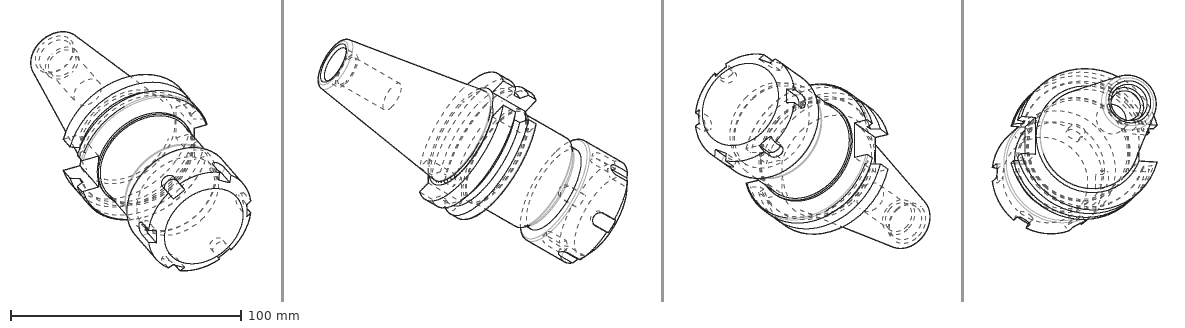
import cadquery as cq
import math

TOTAL_LENGTH = 144.8
SHANK_LENGTH = 68.5
RELIEF_START = 68.9
FLANGE_START = 69.4
FLANGE_END = 87.5
GROOVE_FLOOR_START = 78.0
GROOVE_FLOOR_END = 81.0
COLLAR_END = 88.6
BODY_END = 112.8
NUT_START = 119.5
NUT_BEVEL_START = 140.9

SHANK_SMALL_DIAMETER = 24.2
BODY_DIAMETER = 44.5
FLANGE_DIAMETER = 63.3
GROOVE_DIAMETER = 56.2
NECK_DIAMETER = 39.8
NUT_DIAMETER = 50.1
NUT_FACE_DIAMETER = 38.2

SHANK_END_ROUND = 1.6
COLLAR_DIAMETER = 46.2
RELIEF_RADIUS = 0.9
FLANGE_ROUND = 0.6
GROOVE_WALL_ANGLE = 30.0
SHOULDER_ANGLE = 45.0
SHOULDER_TOP_RADIUS = 0.6
SHOULDER_ROOT_RADIUS = 1.2
NUT_ROUND = 0.9

HOLE_DIAMETER = 16.2
HOLE_MOUTH_DIAMETER = 18.8
HOLE_MOUTH_DEPTH = 1.2
HOLE_DEPTH = 7.2
PILOT_DIAMETER = 13.3
PILOT_DEPTH = 31.9

DRIVE_SLOT_WIDTH = 16.5
FRONT_SLOT_FLOOR = 22.5
BACK_SLOT_FLOOR = 24.2

SPANNER_SLOT_COUNT = 6
SPANNER_SLOT_WIDTH = 6.4
SPANNER_SLOT_START = 131.8
SPANNER_SLOT_FLOOR = 22.0


def make_turned_body():
    """Revolve the shank, flange, body and nut as one profile about X."""
    shank_radius = SHANK_SMALL_DIAMETER / 2
    body_radius = BODY_DIAMETER / 2
    flange_radius = FLANGE_DIAMETER / 2
    groove_radius = GROOVE_DIAMETER / 2
    neck_radius = NECK_DIAMETER / 2
    nut_radius = NUT_DIAMETER / 2
    collar_radius = COLLAR_DIAMETER / 2
    relief_center = body_radius + RELIEF_RADIUS
    relief_edge = relief_center + math.sqrt(RELIEF_RADIUS**2 - (FLANGE_START - RELIEF_START) ** 2)
    groove_wall = (flange_radius - groove_radius) * math.tan(math.radians(GROOVE_WALL_ANGLE))
    shoulder = (body_radius - neck_radius) / math.tan(math.radians(SHOULDER_ANGLE))
    return (
        cq.Workplane("XY")
        .lineTo(0, shank_radius)
        .lineTo(SHANK_LENGTH, body_radius)
        .lineTo(RELIEF_START, body_radius)
        .threePointArc((RELIEF_START + RELIEF_RADIUS, relief_center), (FLANGE_START, relief_edge))
        .lineTo(FLANGE_START, flange_radius)
        .lineTo(GROOVE_FLOOR_START - groove_wall, flange_radius)
        .lineTo(GROOVE_FLOOR_START, groove_radius)
        .lineTo(GROOVE_FLOOR_END, groove_radius)
        .lineTo(GROOVE_FLOOR_END + groove_wall, flange_radius)
        .lineTo(FLANGE_END, flange_radius)
        .lineTo(FLANGE_END, collar_radius)
        .lineTo(COLLAR_END, collar_radius)
        .lineTo(COLLAR_END, body_radius)
        .lineTo(BODY_END, body_radius)
        .lineTo(BODY_END + shoulder, neck_radius)
        .lineTo(NUT_START, neck_radius)
        .lineTo(NUT_START, nut_radius)
        .lineTo(NUT_BEVEL_START, nut_radius)
        .lineTo(TOTAL_LENGTH, NUT_FACE_DIAMETER / 2)
        .lineTo(TOTAL_LENGTH, 0)
        .close()
        .revolve(360, (0, 0, 0), (1, 0, 0))
    )


def circle_at(x, diameter, inner_diameter=0):
    """Selector for the circular edges at one station, larger than an inner diameter."""
    margin = 0.07

    def box(size):
        half = size / 2 + margin
        return cq.selectors.BoxSelector((x - margin, -half, -half), (x + margin, half, half), boundingbox=True)

    return box(diameter) - box(inner_diameter)


def round_turned_edges(body):
    """Round the shank end, the front of the flange, the shoulder above the neck and the back of the nut."""
    shoulder_end = BODY_END + (BODY_DIAMETER - NECK_DIAMETER) / 2 / math.tan(math.radians(SHOULDER_ANGLE))
    body = body.edges(circle_at(0, SHANK_SMALL_DIAMETER)).fillet(SHANK_END_ROUND)
    body = body.edges(circle_at(FLANGE_END, FLANGE_DIAMETER, COLLAR_DIAMETER)).fillet(FLANGE_ROUND)
    body = body.edges(circle_at(BODY_END, BODY_DIAMETER)).fillet(SHOULDER_TOP_RADIUS)
    body = body.edges(circle_at(shoulder_end, NECK_DIAMETER)).fillet(SHOULDER_ROOT_RADIUS)
    return body.edges(circle_at(NUT_START, NUT_DIAMETER, NECK_DIAMETER)).fillet(NUT_ROUND)


def make_draw_bar_hole():
    """Blind stepped hole with a conical mouth, along X from the small end."""
    hole_radius = HOLE_DIAMETER / 2
    pilot_radius = PILOT_DIAMETER / 2
    return (
        cq.Workplane("XY")
        .lineTo(0, HOLE_MOUTH_DIAMETER / 2)
        .lineTo(HOLE_MOUTH_DEPTH, hole_radius)
        .lineTo(HOLE_DEPTH, hole_radius)
        .lineTo(HOLE_DEPTH, pilot_radius)
        .lineTo(PILOT_DEPTH, pilot_radius)
        .lineTo(PILOT_DEPTH, 0)
        .close()
        .revolve(360, (0, 0, 0), (1, 0, 0))
    )


def make_drive_slot(side, floor):
    """Slot across the flange; side is -1 for the -Y side and +1 for the +Y side."""
    depth = FLANGE_DIAMETER / 2 - floor
    center = ((FLANGE_START + FLANGE_END) / 2, side * (floor + depth / 2), 0)
    return cq.Workplane("XY", origin=center).box(FLANGE_END - FLANGE_START, depth, DRIVE_SLOT_WIDTH)


def make_spanner_slot():
    """Round-ended slot on the -Y side of the nut, open at the front."""
    half_width = SPANNER_SLOT_WIDTH / 2
    return (
        cq.Workplane("XZ", origin=(0, -SPANNER_SLOT_FLOOR, 0))
        .moveTo(TOTAL_LENGTH, -half_width)
        .lineTo(SPANNER_SLOT_START + half_width, -half_width)
        .threePointArc((SPANNER_SLOT_START, 0), (SPANNER_SLOT_START + half_width, half_width))
        .lineTo(TOTAL_LENGTH, half_width)
        .close()
        .extrude(NUT_DIAMETER / 2 - SPANNER_SLOT_FLOOR)
    )


result = round_turned_edges(make_turned_body())
result = result.cut(make_draw_bar_hole())
result = result.cut(make_drive_slot(-1, FRONT_SLOT_FLOOR))
result = result.cut(make_drive_slot(1, BACK_SLOT_FLOOR))
for index in range(SPANNER_SLOT_COUNT):
    angle = index * 360 / SPANNER_SLOT_COUNT
    result = result.cut(make_spanner_slot().rotate((0, 0, 0), (1, 0, 0), angle))